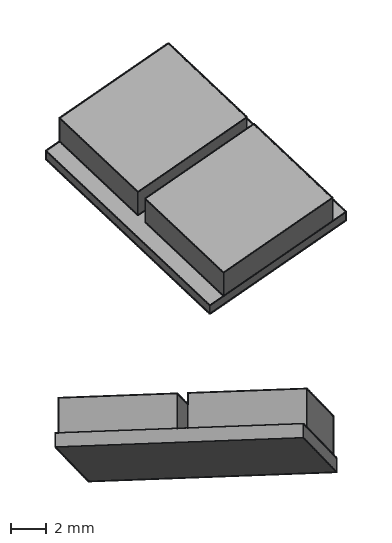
import cadquery as cq

length = 14.1
width = 10.0
height = 3.0

plate_thickness = 0.8
block_width = 8.0
block_gap = 0.6
block_count = 2
block_length = (length - (block_count - 1) * block_gap) / block_count
block_height = height - plate_thickness


def make_plate():
    """Flat base plate, centred in X and Y, with its underside at Z = 0."""
    return cq.Workplane("XY").box(length, width, plate_thickness, centered=(True, True, False))


def make_block(center_x):
    """Rectangular block resting on the plate, centred across its width."""
    return (
        cq.Workplane("XY", origin=(center_x, 0, plate_thickness))
        .box(block_length, block_width, block_height, centered=(True, True, False))
    )


plate = make_plate()

block_pitch = block_length + block_gap
blocks = []
for index in range(block_count):
    center_x = (index - (block_count - 1) / 2) * block_pitch
    blocks.append(make_block(center_x).val())

result = cq.Compound.makeCompound([plate.val(), *blocks])